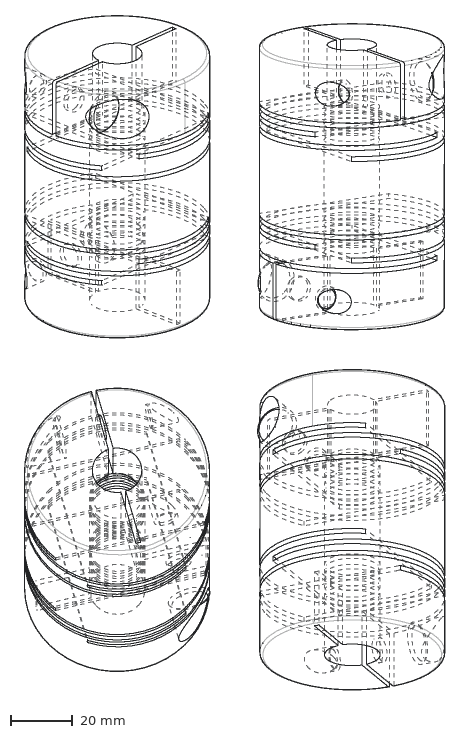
import cadquery as cq

BODY_RADIUS = 30.0
BODY_LENGTH = 88.0
END_FILLET = 1.0

TOP_BORE_DIAMETER = 16.0
MAIN_BORE_DIAMETER = 18.0

SLOT_WIDTH = 1.6
SLOT_WALL_OFFSET = 16.5
CLAMP_SLOT_Z = 24.2
CLAMP_FACE_Z = CLAMP_SLOT_Z + SLOT_WIDTH / 2
OUTER_SLOT_Z = 20.7
INNER_SLOT_Z = 16.75
HUB_SLOT_Z = 13.05

FLEXURE_SLOTS = [
    (CLAMP_SLOT_Z, -90),
    (OUTER_SLOT_Z, 90),
    (INNER_SLOT_Z, 180),
    (HUB_SLOT_Z, 0),
    (-HUB_SLOT_Z, -90),
    (-INNER_SLOT_Z, 90),
    (-OUTER_SLOT_Z, 0),
    (-CLAMP_SLOT_Z, 180),
]

SLIT_WIDTH = 1.6
SLIT_END_OFFSET = 27.0

SCREW_Z = 34.5
SCREW_OFFSET = 20.6
SCREW_DIAMETER = 8.0
SCREW_LENGTH = 23.0
TIP_CHAMFER = 0.7
HEAD_DIAMETER = 14.0
HEAD_HEIGHT = 8.0
HEAD_CHAMFER = 1.0
HEAD_SEAT = 6.4


def make_body():
    """Solid round bar with rounded end rims."""
    bar = cq.Workplane("XY").circle(BODY_RADIUS).extrude(BODY_LENGTH / 2, both=True)
    return bar.faces("|Z").edges().fillet(END_FILLET)


def make_bores():
    """Stepped bore: narrow through the top clamp, wide through everything below it."""
    narrow = cq.Workplane("XY").circle(TOP_BORE_DIAMETER / 2).extrude(BODY_LENGTH / 2)
    wide_length = BODY_LENGTH / 2 + CLAMP_FACE_Z
    wide = (
        cq.Workplane("XY", origin=(0, 0, -BODY_LENGTH / 2))
        .circle(MAIN_BORE_DIAMETER / 2)
        .extrude(wide_length)
    )
    return narrow.union(wide)


def make_flexure_slot(height, open_angle):
    """Flat slot open towards open_angle, with its wall on the opposite side of the axis."""
    slot = cq.Workplane("XY").box(
        SLOT_WALL_OFFSET + BODY_RADIUS,
        2 * BODY_RADIUS,
        SLOT_WIDTH,
        centered=(False, True, True),
    )
    slot = slot.translate((-SLOT_WALL_OFFSET, 0, height))
    return slot.rotate((0, 0, 0), (0, 0, 1), open_angle)




def make_slit():
    """Slit through the clamp, from its inner face to the end face, open on the -Y side."""
    slit = cq.Workplane("XY").box(
        SLIT_WIDTH,
        BODY_RADIUS + SLIT_END_OFFSET,
        BODY_LENGTH / 2 - CLAMP_FACE_Z,
        centered=(True, False, False),
    )
    return slit.translate((0, -BODY_RADIUS, CLAMP_FACE_Z))


def cylinder_along_x(diameter, x_start, x_end):
    """Cylinder on the screw axis between two X positions."""
    plane = cq.Workplane("YZ", origin=(x_start, -SCREW_OFFSET, SCREW_Z))
    return plane.circle(diameter / 2).extrude(x_end - x_start)


def make_screw_hole():
    """Through hole with a counterbore, a close fit for the head, opening on the +X side."""
    hole = cylinder_along_x(SCREW_DIAMETER, -BODY_RADIUS, BODY_RADIUS)
    counterbore = cylinder_along_x(HEAD_DIAMETER, HEAD_SEAT, BODY_RADIUS)
    return hole.union(counterbore)


def make_screw():
    """Cap screw seated in the counterbore, with chamfered tip and head rim."""
    shank = cylinder_along_x(SCREW_DIAMETER, HEAD_SEAT - SCREW_LENGTH, HEAD_SEAT)
    shank = shank.faces("<X").chamfer(TIP_CHAMFER)
    head = cylinder_along_x(HEAD_DIAMETER, HEAD_SEAT, HEAD_SEAT + HEAD_HEIGHT)
    head = head.faces(">X").chamfer(HEAD_CHAMFER)
    return shank.union(head)


def to_bottom_clamp(shape):
    """Move a top-clamp feature to the bottom: a half turn about the X = Y diagonal."""
    return shape.rotate((0, 0, 0), (1, 1, 0), 180)


coupling = make_body().cut(make_bores())
for slot_height, slot_angle in FLEXURE_SLOTS:
    coupling = coupling.cut(make_flexure_slot(slot_height, slot_angle))

clamp_cuts = make_slit().union(make_screw_hole())
screw = make_screw()
for cuts, fastener in (
    (clamp_cuts, screw),
    (to_bottom_clamp(clamp_cuts), to_bottom_clamp(screw)),
):
    coupling = coupling.cut(cuts).union(fastener)

result = coupling